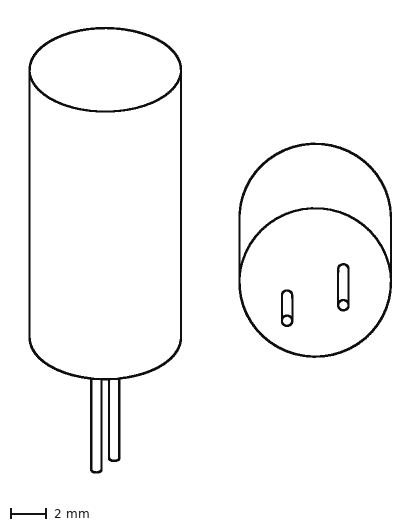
import cadquery as cq

total_height = 28.0
can_diameter = 8.5
can_height = 18.0

lead_diameter = 0.6
lead_pitch = 3.5
long_lead_length = total_height - can_height
short_lead_length = 7.0


def make_can():
    """Plain cylindrical can standing on the plane z = 0."""
    return cq.Workplane("XY").circle(can_diameter / 2).extrude(can_height)


def make_lead(x_position, length):
    """Straight round wire hanging down from the underside of the can."""
    return cq.Workplane("XY").center(x_position, 0).circle(lead_diameter / 2).extrude(-length)


can = make_can()

lead_layout = [
    (-lead_pitch / 2, long_lead_length),
    (lead_pitch / 2, short_lead_length),
]
leads = [make_lead(x_position, length) for x_position, length in lead_layout]

result = cq.Compound.makeCompound([can.val(), *[lead.val() for lead in leads]])